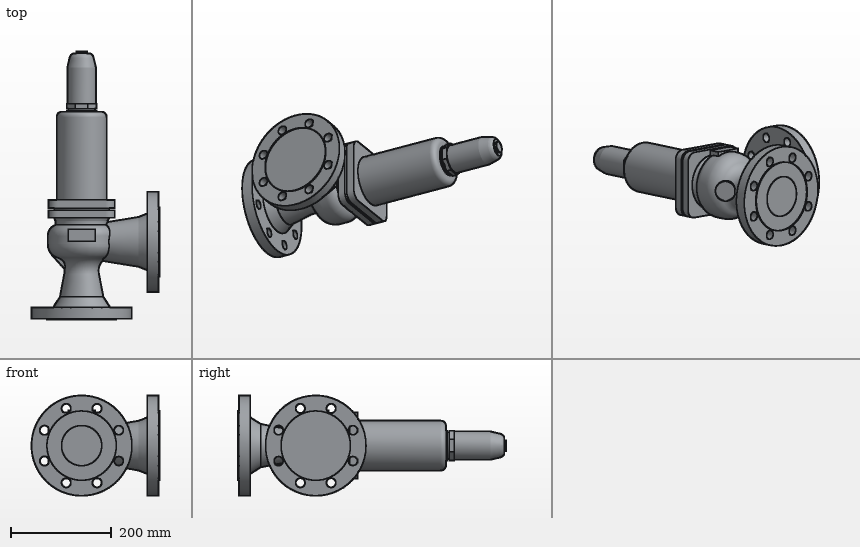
import cadquery as cq
import math


face_distance = 155.0
flange_diameter = 200.0
flange_back = 130.0
raised_face_diameter = 138.0
raised_face_height = 2.0
bolt_circle_diameter = 160.0
bolt_hole_diameter = 18.0
bolt_count = 8
bore_mark_diameter = 80.0
bore_mark_depth = 0.2
flange_hub_radius = 56.5

inlet_throat_radius = 34.5
inlet_throat_y = -62.5
inlet_cone_radius = 43.5
inlet_cone_y = -109.5

outlet_start_radius = 31.3
outlet_cone_radius = 49.8
outlet_cone_x = 113.5

body_radius = 67.5
body_top_y = 12.2
body_bottom_y = -4.0
body_upper_round = 22.6
body_lower_round = 32.5
throat_round = 28.0
neck_radius = 52.0
neck_taper_start_y = 38.3
neck_taper_radius = 52.4
neck_flare_start_y = 41.8
neck_flare_radius = 55.0

square_width = 132.5
square_corner_radius = 18.0
body_square_bottom_y = 47.7
body_square_top_y = 63.0
bonnet_square_bottom_y = 67.3
bonnet_square_top_y = 83.7
gasket_radius = 55.0

bonnet_radius = 50.0
bonnet_top_y = 259.2
bonnet_round = 11.2
collar_radius = 30.0
collar_top_y = 261.0
cap_neck_radius = 27.0
octagon_bottom_y = 265.0
octagon_top_y = 275.0
octagon_sides = 8
octagon_flats = 60.0
cap_radius = 28.6
cap_taper_start_y = 347.0
cap_taper_end_y = 366.5
cap_taper_radius = 24.0
cap_crown_radius = 17.0
cap_crown_y = 375.0
plug_radius = 11.0
plug_top_y = 378.7

boss_radius = 20.0
boss_face_x = -46.5
boss_face_y = -40.3
boss_angle = 42.0
boss_length = 45.0
pad_length = 53.5
pad_width = 24.2
pad_center_y = 13.4
pad_top_z = 70.7
pad_depth = 30.0


def disc(radius, start_y, end_y):
    """Cylinder on the Y axis between two heights."""
    return cq.Workplane("XZ", origin=(0, start_y, 0)).circle(radius).extrude(start_y - end_y)


def make_pipe_flange():
    """Flange on the Y axis facing -Y, with its raised face and bolt holes."""
    rim_y = raised_face_height - face_distance
    flange = disc(flange_diameter / 2, rim_y, -flange_back)
    flange = flange.union(disc(raised_face_diameter / 2, -face_distance, rim_y))
    holes = (
        cq.Workplane("XZ", origin=(0, -flange_back, 0))
        .polarArray(bolt_circle_diameter / 2, 180 / bolt_count, 360, bolt_count)
        .circle(bolt_hole_diameter / 2)
        .extrude(face_distance - flange_back)
    )
    return flange.cut(holes)


def make_inlet_and_body():
    """Revolved inlet pipe, throat, bulb and neck up to the square flange."""
    slope = math.atan2(inlet_cone_radius - inlet_throat_radius, inlet_throat_y - inlet_cone_y)

    throat_center_r = inlet_throat_radius + throat_round * math.cos(slope)
    throat_center_y = inlet_throat_y + throat_round * math.sin(slope)
    lower_center_r = body_radius - body_lower_round
    toward_bulb = math.atan2(body_bottom_y - throat_center_y, lower_center_r - throat_center_r)
    throat_mid_angle = (toward_bulb + math.pi + slope) / 2
    throat_mid = (
        throat_center_r + throat_round * math.cos(throat_mid_angle),
        throat_center_y + throat_round * math.sin(throat_mid_angle),
    )
    throat_end = (
        throat_center_r + throat_round * math.cos(toward_bulb),
        throat_center_y + throat_round * math.sin(toward_bulb),
    )
    lower_start_angle = math.atan2(throat_end[1] - body_bottom_y, throat_end[0] - lower_center_r)
    lower_mid = (
        lower_center_r + body_lower_round * math.cos(lower_start_angle / 2),
        body_bottom_y + body_lower_round * math.sin(lower_start_angle / 2),
    )

    upper_center_r = body_radius - body_upper_round
    upper_end_angle = math.acos((neck_radius - upper_center_r) / body_upper_round)
    upper_mid = (
        upper_center_r + body_upper_round * math.cos(upper_end_angle / 2),
        body_top_y + body_upper_round * math.sin(upper_end_angle / 2),
    )
    upper_end = (neck_radius, body_top_y + body_upper_round * math.sin(upper_end_angle))

    return (
        cq.Workplane("XY")
        .moveTo(0, -flange_back)
        .lineTo(flange_hub_radius, -flange_back)
        .lineTo(inlet_cone_radius, inlet_cone_y)
        .lineTo(inlet_throat_radius, inlet_throat_y)
        .threePointArc(throat_mid, throat_end)
        .threePointArc(lower_mid, (body_radius, body_bottom_y))
        .lineTo(body_radius, body_top_y)
        .threePointArc(upper_mid, upper_end)
        .lineTo(neck_radius, neck_taper_start_y)
        .lineTo(neck_taper_radius, neck_flare_start_y)
        .lineTo(neck_flare_radius, body_square_bottom_y)
        .lineTo(0, body_square_bottom_y)
        .close()
        .revolve(360, (0, 0, 0), (0, 1, 0))
    )


def make_outlet_pipe():
    """Outlet pipe along +X: a slender cone, then a steeper one up to its flange."""
    return (
        cq.Workplane("XY")
        .lineTo(0, outlet_start_radius)
        .lineTo(outlet_cone_x, outlet_cone_radius)
        .lineTo(flange_back, flange_hub_radius)
        .lineTo(flange_back, 0)
        .close()
        .revolve(360, (0, 0, 0), (1, 0, 0))
    )


def make_square_flange(bottom_y, top_y):
    """Square flange with rounded corners, centred on the Y axis."""
    return (
        cq.Workplane("XZ", origin=(0, bottom_y, 0))
        .rect(square_width, square_width)
        .extrude(bottom_y - top_y)
        .edges("|Y")
        .fillet(square_corner_radius)
    )


def make_bonnet():
    """Bonnet cylinder with a rounded top and a low collar."""
    bonnet = disc(bonnet_radius, bonnet_square_top_y, bonnet_top_y)
    bonnet = bonnet.faces(">Y").edges().fillet(bonnet_round)
    return bonnet.union(disc(collar_radius, bonnet_top_y, collar_top_y))


def make_cap():
    """Cap with an octagonal wrench collar, a tapered rounded end and a small plug."""
    turned = (
        cq.Workplane("XY")
        .moveTo(0, collar_top_y)
        .lineTo(cap_neck_radius, collar_top_y)
        .lineTo(cap_neck_radius, octagon_bottom_y)
        .lineTo(cap_radius, octagon_bottom_y)
        .lineTo(cap_radius, cap_taper_start_y)
        .lineTo(cap_taper_radius, cap_taper_end_y)
        .tangentArcPoint((cap_crown_radius, cap_crown_y), relative=False)
        .lineTo(plug_radius, cap_crown_y)
        .lineTo(plug_radius, plug_top_y)
        .lineTo(0, plug_top_y)
        .close()
        .revolve(360, (0, 0, 0), (0, 1, 0))
    )
    octagon = (
        cq.Workplane("XZ", origin=(0, octagon_bottom_y, 0))
        .polygon(octagon_sides, octagon_flats, circumscribed=True)
        .extrude(octagon_bottom_y - octagon_top_y)
    )
    return turned.union(octagon)


def make_drain_boss():
    """Round boss whose flat face looks obliquely toward -X and -Y."""
    angle = math.radians(boss_angle)
    inward = cq.Vector(math.cos(angle), math.sin(angle), 0)
    face_center = cq.Vector(boss_face_x, boss_face_y, 0)
    return cq.Workplane(cq.Solid.makeCylinder(boss_radius, boss_length, face_center, inward))


def make_pad():
    """Flat rectangular name plate pad on the +Z side of the bulb."""
    pad_top = cq.Workplane("XY", origin=(0, pad_center_y, pad_top_z))
    return pad_top.rect(pad_length, pad_width).extrude(-pad_depth)


def make_bore_mark():
    """Shallow circular recess in the middle of the inlet face."""
    return disc(bore_mark_diameter / 2, -face_distance, bore_mark_depth - face_distance)


inlet_flange = make_pipe_flange()
outlet_flange = inlet_flange.rotate((0, 0, 0), (0, 0, 1), 90)

result = (
    make_inlet_and_body()
    .union(make_outlet_pipe())
    .union(inlet_flange)
    .union(outlet_flange)
    .union(make_drain_boss())
    .union(make_pad())
    .union(make_square_flange(body_square_bottom_y, body_square_top_y))
    .union(disc(gasket_radius, body_square_top_y, bonnet_square_bottom_y))
    .union(make_square_flange(bonnet_square_bottom_y, bonnet_square_top_y))
    .union(make_bonnet())
    .union(make_cap())
    .cut(make_bore_mark())
)